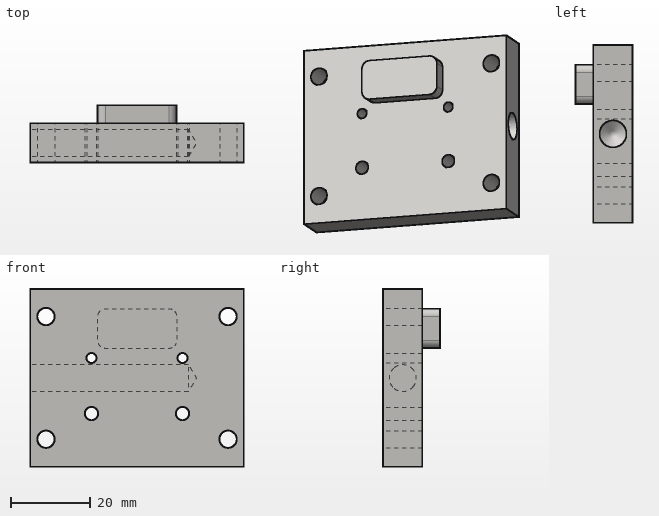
import cadquery as cq
import math

plate_width = 54
plate_height = 45.0
plate_thickness = 10.0

boss_width = 20
boss_height = 10.0
boss_length = 4.55
boss_corner_radius = 2.0
boss_center_z = 12.55

corner_hole_diameter = 4.3
corner_hole_x = 23.0
corner_hole_z = 15.5
inner_hole_x = 11.5
upper_hole_diameter = 2.5
upper_hole_z = 5.0
lower_hole_diameter = 3.3
lower_hole_z = -9.0

bore_diameter = 6.8
bore_depth = 39.95
bore_tip_angle = 118


def through_holes(diameter, centers):
    """Cylinders along Y through the plate at the given (x, z) centres."""
    return (
        cq.Workplane("XZ")
        .pushPoints(centers)
        .circle(diameter / 2)
        .extrude(-plate_thickness)
    )


def drilled_bore():
    """Drill shape revolved about the X axis at mid-thickness."""
    radius = bore_diameter / 2
    tip_length = radius / math.tan(math.radians(bore_tip_angle / 2))
    entry_x = -plate_width / 2
    bottom_x = entry_x + bore_depth
    axis_y = plate_thickness / 2
    return (
        cq.Workplane("XY")
        .moveTo(entry_x, axis_y)
        .lineTo(entry_x, axis_y + radius)
        .lineTo(bottom_x, axis_y + radius)
        .lineTo(bottom_x + tip_length, axis_y)
        .close()
        .revolve(360, (entry_x, axis_y), (bottom_x, axis_y))
    )


plate = cq.Workplane("XY").box(
    plate_width, plate_thickness, plate_height, centered=(True, False, True)
)
boss = (
    cq.Workplane("XY")
    .box(boss_width, boss_length, boss_height, centered=(True, False, True))
    .edges("|Y")
    .fillet(boss_corner_radius)
    .translate((0, plate_thickness, boss_center_z))
)

corner_centers = [
    (x, z)
    for x in (-corner_hole_x, corner_hole_x)
    for z in (-corner_hole_z, corner_hole_z)
]
upper_centers = [(x, upper_hole_z) for x in (-inner_hole_x, inner_hole_x)]
lower_centers = [(x, lower_hole_z) for x in (-inner_hole_x, inner_hole_x)]

result = (
    plate.union(boss)
    .cut(through_holes(corner_hole_diameter, corner_centers))
    .cut(through_holes(upper_hole_diameter, upper_centers))
    .cut(through_holes(lower_hole_diameter, lower_centers))
    .cut(drilled_bore())
)